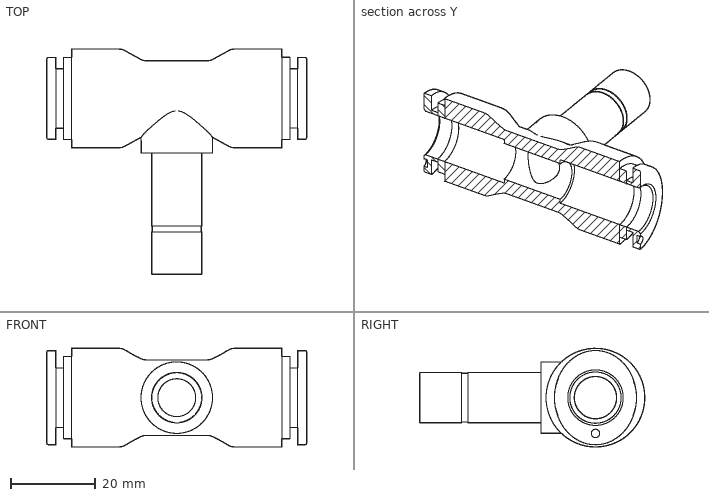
import cadquery as cq


socket_diameter = 23.5
socket_end = 25.0
shoulder_x = 13.0
neck_diameter = 18.0
neck_x = 8.0
blend_radius = 2.5
socket_bore = 12.18
run_bore = 10.0
boss_diameter = 17.0
boss_length = 13.0
stem_diameter = 12.0
stem_length = 41.8
stem_bore = 9.0
stem_tip_fillet = 0.2
groove_diameter = 11.7
groove_width = 1.5
groove_from_tip = 10.0

ring_diameter = 19.6
ring_width = 1.95
ring_bore = 12.2
ring_fillet = 0.2

sleeve_end = 30.9
sleeve_diameter = 14.2
sleeve_bore = 12.2
flange_width = 19.5
flange_height = 22.4
flange_thickness = 2.2
flange_fillet = 0.4
lead_in = 0.5
mark_diameter = 2.0
mark_depth = 1.0
mark_offset = 8.5

ring_face = socket_end + ring_width
flange_back = sleeve_end - flange_thickness


def run_cylinder(diameter, start, end):
    """Cylinder on the X axis between two X positions."""
    return cq.Workplane("YZ", origin=(start, 0, 0)).circle(diameter / 2).extrude(end - start)


def branch_cylinder(diameter, start, end):
    """Cylinder on the -Y axis between two distances from the run axis."""
    return cq.Workplane("XZ", origin=(0, -start, 0)).circle(diameter / 2).extrude(end - start)


def run_outside():
    """Neck widening through rounded cones into the two sockets."""
    socket_radius = socket_diameter / 2
    neck_radius = neck_diameter / 2
    profile = (
        cq.Workplane("XY")
        .moveTo(-socket_end, 0)
        .lineTo(-socket_end, socket_radius)
        .lineTo(-shoulder_x, socket_radius)
        .lineTo(-neck_x, neck_radius)
        .lineTo(neck_x, neck_radius)
        .lineTo(shoulder_x, socket_radius)
        .lineTo(socket_end, socket_radius)
        .lineTo(socket_end, 0)
        .close()
    )
    solid = profile.revolve(360, (0, 0, 0), (1, 0, 0))
    cone_limit = shoulder_x + blend_radius
    cone_edges = cq.selectors.BoxSelector(
        (-cone_limit, -socket_diameter, -socket_diameter),
        (cone_limit, socket_diameter, socket_diameter),
    )
    return solid.edges("%CIRCLE").edges(cone_edges).fillet(blend_radius)


def stem():
    """Plug-in tube with a rounded tip and a shallow groove near the tip."""
    groove_end = stem_length - groove_from_tip
    groove_start = groove_end - groove_width
    tube = branch_cylinder(stem_diameter, 0, stem_length).cut(branch_cylinder(stem_bore, 0, stem_length))
    groove = branch_cylinder(stem_diameter, groove_start, groove_end).cut(
        branch_cylinder(groove_diameter, groove_start, groove_end)
    )
    return tube.faces("<Y").edges().fillet(stem_tip_fillet).cut(groove)


def make_body():
    boss = branch_cylinder(boss_diameter, 0, boss_length)
    outside = run_outside().union(boss).union(stem())
    return (
        outside.cut(run_cylinder(run_bore, -socket_end, socket_end))
        .cut(run_cylinder(socket_bore, -socket_end, -neck_x))
        .cut(run_cylinder(socket_bore, neck_x, socket_end))
        .cut(branch_cylinder(stem_bore, 0, boss_length))
    )


def make_guide_ring():
    """Guide ring of the +X socket, with its outer rim rounded."""
    ring = run_cylinder(ring_diameter, socket_end, ring_face).faces(">X").edges().fillet(ring_fillet)
    return ring.cut(run_cylinder(ring_bore, socket_end, ring_face))


def make_release_sleeve():
    """Release sleeve of the +X socket: collar, oval flange, lead-in and round mark."""
    flange = (
        cq.Workplane("YZ", origin=(flange_back, 0, 0))
        .ellipse(flange_width / 2, flange_height / 2)
        .extrude(flange_thickness)
        .faces(">X")
        .edges()
        .fillet(flange_fillet)
    )
    collar = run_cylinder(sleeve_diameter, ring_face, sleeve_end - flange_fillet)
    mark = (
        cq.Workplane("YZ", origin=(sleeve_end, 0, -mark_offset))
        .circle(mark_diameter / 2)
        .extrude(-mark_depth)
    )
    bored = flange.union(collar).cut(run_cylinder(sleeve_bore, ring_face, sleeve_end))
    return bored.faces(">X").edges("%CIRCLE").chamfer(lead_in).cut(mark)


body = make_body()
guide_rings = []
release_sleeves = []
for half_turn in (0, 180):
    guide_rings.append(make_guide_ring().rotate((0, 0, 0), (0, 0, 1), half_turn))
    release_sleeves.append(make_release_sleeve().rotate((0, 0, 0), (0, 0, 1), half_turn))

result = cq.Compound.makeCompound(
    [
        body.val(),
        *[ring.val() for ring in guide_rings],
        *[sleeve.val() for sleeve in release_sleeves],
    ]
)